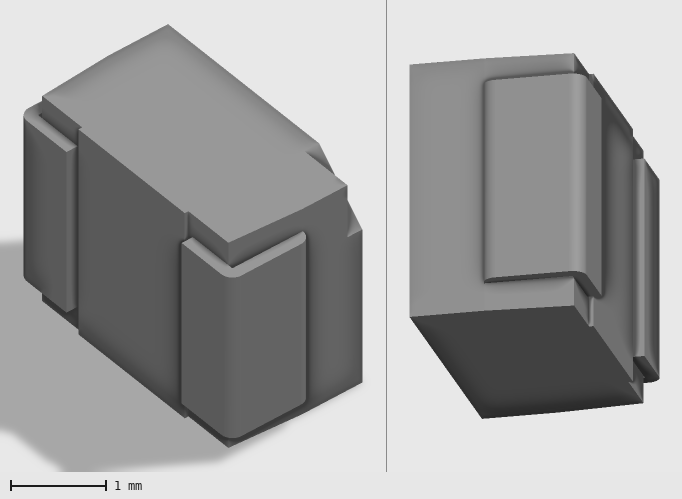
import cadquery as cq

overall_width = 3.5
overall_depth = 1.9
overall_height = 2.8

lead_thickness = 0.15
lead_height = 2.19
lead_side_reach = 1.1
lead_foot_length = 0.8
lead_outer_radius = 0.15

body_width = overall_width - 2 * lead_thickness
taper_inset = 0.065
body_taper_depth = 0.945
pad_width = 1.75
pad_thickness = 0.05

mark_width = 0.71
mark_depth = 0.2
mark_drop = mark_width

front_y = -overall_depth / 2
back_y = overall_depth / 2
body_front_y = front_y + lead_thickness
taper_start_y = body_front_y + body_taper_depth


def extrude_centred(profile, height):
    """Extrude an XY outline equally far above and below Z = 0."""
    return profile.extrude(height / 2, both=True)


def make_body():
    half_width = body_width / 2
    front_half_width = half_width - taper_inset
    half_pad = pad_width / 2
    pad_y = body_front_y - pad_thickness
    outline = (
        cq.Workplane("XY")
        .moveTo(-half_width, back_y)
        .lineTo(half_width, back_y)
        .lineTo(half_width, taper_start_y)
        .lineTo(front_half_width, body_front_y)
        .lineTo(half_pad, body_front_y)
        .lineTo(half_pad, pad_y)
        .lineTo(-half_pad, pad_y)
        .lineTo(-half_pad, body_front_y)
        .lineTo(-front_half_width, body_front_y)
        .lineTo(-half_width, taper_start_y)
        .close()
    )
    return extrude_centred(outline, overall_height)


def make_corner_mark():
    """Wedge that bevels the upper back corner of the body."""
    corner_x = body_width / 2
    corner_z = overall_height / 2
    triangle = (
        cq.Workplane("XZ", origin=(0, back_y, 0))
        .moveTo(corner_x - mark_width, corner_z)
        .lineTo(corner_x, corner_z)
        .lineTo(corner_x, corner_z - mark_drop)
        .close()
    )
    return triangle.extrude(mark_depth)


def make_left_lead():
    outer_x = -overall_width / 2
    inner_x = outer_x + lead_thickness
    foot_end_x = outer_x + lead_foot_length
    tip_y = front_y + lead_side_reach
    outline = (
        cq.Workplane("XY")
        .moveTo(inner_x, tip_y)
        .lineTo(inner_x, body_front_y)
        .lineTo(foot_end_x, body_front_y)
        .lineTo(foot_end_x, front_y)
        .lineTo(outer_x + lead_outer_radius, front_y)
        .radiusArc((outer_x, front_y + lead_outer_radius), lead_outer_radius)
        .lineTo(outer_x, tip_y - lead_outer_radius)
        .radiusArc((outer_x + lead_outer_radius, tip_y), lead_outer_radius)
        .close()
    )
    return extrude_centred(outline, lead_height)


left_lead = make_left_lead()
right_lead = left_lead.mirror("YZ")
result = make_body().cut(make_corner_mark()).union(left_lead).union(right_lead)